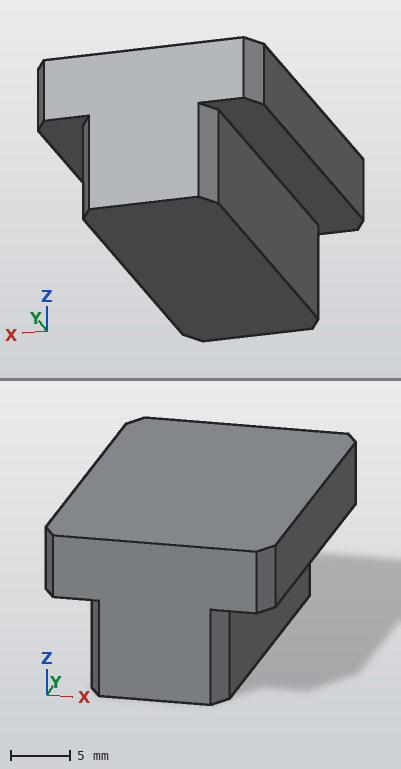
import cadquery as cq
import math

length = 32.0
head_width = 20.0
stem_width = 12.0
total_height = 14.0
head_height = 5.5
stem_height = total_height - head_height

chamfer_along_length = 2.0
chamfer_angle = 30.0
chamfer_across_width = chamfer_along_length * math.tan(math.radians(chamfer_angle))


def chamfered_block(width, height, base_z):
    """Block of full length, centred in X and Y, with its four vertical corners cut off."""
    half_width = width / 2
    half_length = length / 2
    flat_x = half_width - chamfer_across_width
    flat_y = half_length - chamfer_along_length
    outline = [
        (flat_x, -half_length),
        (half_width, -flat_y),
        (half_width, flat_y),
        (flat_x, half_length),
        (-flat_x, half_length),
        (-half_width, flat_y),
        (-half_width, -flat_y),
        (-flat_x, -half_length),
    ]
    return cq.Workplane("XY").workplane(offset=base_z).polyline(outline).close().extrude(height)


stem = chamfered_block(stem_width, stem_height, 0)
head = chamfered_block(head_width, head_height, stem_height)

result = stem.union(head)